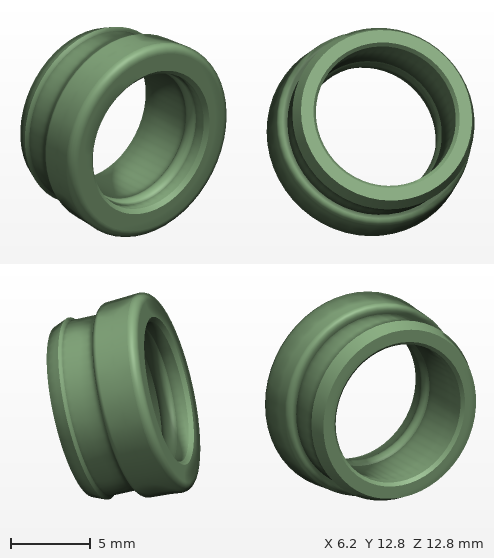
import cadquery as cq

total_length = 6.2
ring_radius = 6.4
shoulder_x = 3.19
ring_front_radius = 6.26
front_round = 0.37
rear_round = 0.54

tube_radius = 5.63
nose_radius = 5.48
barb_radius = 5.84
barb_peak_x = 0.88
barb_end_x = 1.09
bore_radius = 4.48
mouth_radius = 4.68
mouth_depth = 0.2

seat_x = 4.17
lip_radius = 4.25
lip_crest_x = 4.67
rear_chamfer = 0.25

lip_half_length = lip_crest_x - seat_x
lip_height = bore_radius - lip_radius
lip_round = (lip_half_length**2 + lip_height**2) / (2 * lip_height)


def revolve_about_x(profile):
    return profile.close().revolve(360, (0, 0, 0), (1, 0, 0))


def make_sleeve():
    """Barbed tube with a chamfered bore mouth, seated in the end ring."""
    profile = (
        cq.Workplane("XY")
        .moveTo(0, mouth_radius)
        .lineTo(0, nose_radius)
        .lineTo(barb_peak_x, barb_radius)
        .lineTo(barb_end_x, tube_radius)
        .lineTo(seat_x, tube_radius)
        .lineTo(seat_x, bore_radius)
        .lineTo(mouth_depth, bore_radius)
    )
    return revolve_about_x(profile)


def make_ring():
    """Tapered ring with rounded rims, a socket for the sleeve and a rounded inner lip."""
    profile = (
        cq.Workplane("XY")
        .moveTo(shoulder_x, tube_radius)
        .lineTo(shoulder_x, ring_front_radius - front_round)
        .radiusArc((shoulder_x + front_round, ring_front_radius), front_round)
        .lineTo(total_length - rear_round, ring_radius)
        .radiusArc((total_length, ring_radius - rear_round), rear_round)
        .lineTo(total_length, bore_radius + rear_chamfer)
        .lineTo(total_length - rear_chamfer, bore_radius)
        .lineTo(lip_crest_x + lip_half_length, bore_radius)
        .radiusArc((lip_crest_x, lip_radius), lip_round)
        .radiusArc((seat_x, bore_radius), lip_round)
        .lineTo(seat_x, tube_radius)
    )
    return revolve_about_x(profile)


sleeve = make_sleeve()
ring = make_ring()
result = cq.Compound.makeCompound([sleeve.val(), ring.val()])